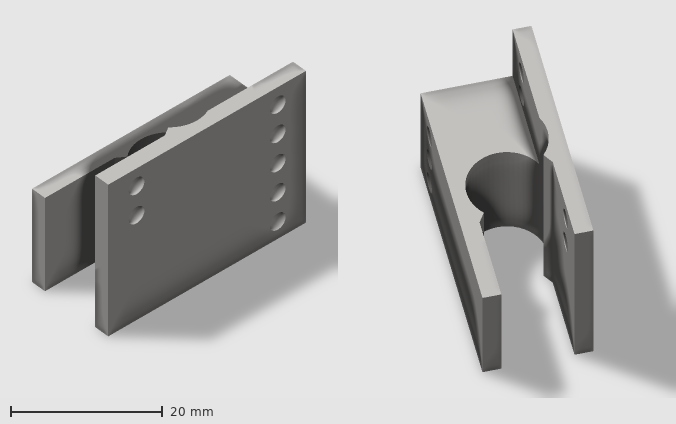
import cadquery as cq
import math

WIDTH = 15.0
LENGTH = 35.0
PLATE_HEIGHT = 26.0
BLOCK_HEIGHT = 16.0
WALL = 2.55

BORE_RADIUS = 5.5
THROAT_HALF_WIDTH = 4.02
NECK_FOOT_DEPTH = 5.18

HOLE_DIAMETER = 2.8
HOLE_PITCH = 5.0
HOLE_EDGE = 5.0
TOP_HOLE_DROP = 3.0
BACK_HOLE_COUNT = 5
FRONT_HOLE_COUNT = 2

HALF_WIDTH = WIDTH / 2
HALF_LENGTH = LENGTH / 2
SLOT_HALF_WIDTH = HALF_WIDTH - WALL
THROAT_Y = -math.sqrt(BORE_RADIUS**2 - THROAT_HALF_WIDTH**2)
NECK_FOOT_Y = -NECK_FOOT_DEPTH
BORE_MEETS_PLATE_Y = -math.sqrt(BORE_RADIUS**2 - SLOT_HALF_WIDTH**2)


def outer_shape():
    """Low block with the tall plate along its +X side."""
    block = cq.Workplane("XY").box(WIDTH, LENGTH, BLOCK_HEIGHT, centered=(True, True, False))
    plate = (
        cq.Workplane("XY")
        .box(WALL, LENGTH, PLATE_HEIGHT, centered=(False, True, False))
        .translate((SLOT_HALF_WIDTH, 0, 0))
    )
    return block.union(plate)


def keyhole_cutter():
    """Bore and slot; the neck narrows the opening on the -X side only."""
    bore = cq.Workplane("XY").circle(BORE_RADIUS).extrude(PLATE_HEIGHT)
    slot = (
        cq.Workplane("XY")
        .moveTo(-SLOT_HALF_WIDTH, -HALF_LENGTH)
        .lineTo(SLOT_HALF_WIDTH, -HALF_LENGTH)
        .lineTo(SLOT_HALF_WIDTH, 0)
        .lineTo(-THROAT_HALF_WIDTH, 0)
        .lineTo(-THROAT_HALF_WIDTH, THROAT_Y)
        .lineTo(-SLOT_HALF_WIDTH, NECK_FOOT_Y)
        .close()
        .extrude(PLATE_HEIGHT)
    )
    return bore.union(slot)


def cross_holes(y, count):
    """Vertical row of holes through the full width, counted down from the top one."""
    top_z = PLATE_HEIGHT - TOP_HOLE_DROP
    centers = [(y, top_z - i * HOLE_PITCH) for i in range(count)]
    return (
        cq.Workplane("YZ", origin=(-HALF_WIDTH, 0, 0))
        .pushPoints(centers)
        .circle(HOLE_DIAMETER / 2)
        .extrude(WIDTH)
    )


def make_housing():
    """Block, low wall and tall plate as one body."""
    back_row = cross_holes(HALF_LENGTH - HOLE_EDGE, BACK_HOLE_COUNT)
    front_row = cross_holes(HOLE_EDGE - HALF_LENGTH, FRONT_HOLE_COUNT)
    return outer_shape().cut(keyhole_cutter()).cut(back_row).cut(front_row)


def make_retaining_strip():
    """Full-height strip on the plate that forms the +X side of the neck."""
    middle_angle = (
        math.atan2(THROAT_Y, THROAT_HALF_WIDTH) + math.atan2(BORE_MEETS_PLATE_Y, SLOT_HALF_WIDTH)
    ) / 2
    arc_middle = (BORE_RADIUS * math.cos(middle_angle), BORE_RADIUS * math.sin(middle_angle))
    return (
        cq.Workplane("XY")
        .moveTo(SLOT_HALF_WIDTH, NECK_FOOT_Y)
        .lineTo(SLOT_HALF_WIDTH, BORE_MEETS_PLATE_Y)
        .threePointArc(arc_middle, (THROAT_HALF_WIDTH, THROAT_Y))
        .close()
        .extrude(PLATE_HEIGHT)
    )


housing = make_housing()
retaining_strip = make_retaining_strip()

result = cq.Compound.makeCompound([housing.solids().val(), retaining_strip.val()])